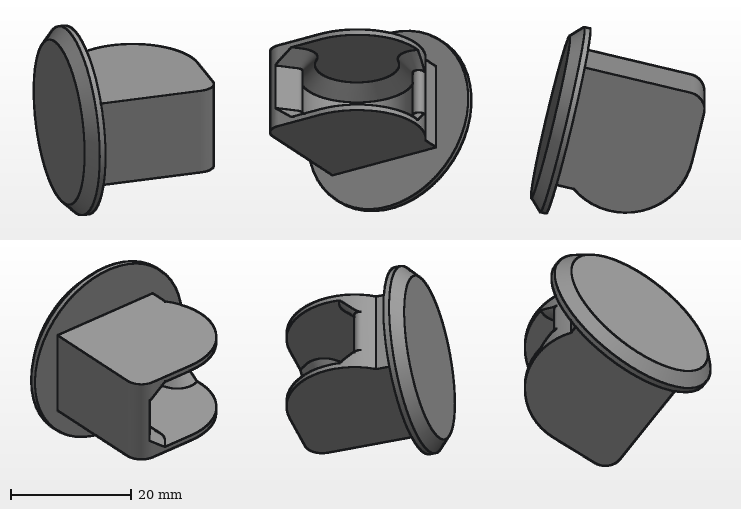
import cadquery as cq
import math

plate_radius = 15.88
plate_thickness = 3.02
plate_chamfer = 2.0

body_back = 24.35
body_height = 14.83
body_left = -9.52
body_right = 11.02
body_corner_radius = 3.02
bulge_radius = 11.37
bulge_center_x = -0.35
bulge_center_y = body_back - bulge_radius

bore_radius = 9.52
bore_center_y = 12.57
wall_tip_radius = 1.02
wall_tip_angle = 49.5
lip_tip_angle = 200.0
flange_thickness = 1.02
cavity_slope = 2.5
cavity_half_height = body_height / 2 - flange_thickness
straight_half_height = cavity_half_height - cavity_slope

clearance = 9.52
lip_run_out = 2.55


def move(point, distance, angle):
    """Return the point reached by going a distance at an angle in degrees."""
    turn = math.radians(angle)
    return (point[0] + distance * math.cos(turn), point[1] + distance * math.sin(turn))


def make_plate():
    plate = cq.Workplane("XZ").circle(plate_radius).extrude(-plate_thickness)
    return plate.faces("<Y").chamfer(plate_chamfer)


def make_body():
    bulge_center = (bulge_center_x, bulge_center_y)
    neck_drop = math.sqrt(bulge_radius**2 - (body_left - bulge_center_x) ** 2)
    corner_center = (body_right - body_corner_radius, body_back - body_corner_radius)
    return (
        cq.Workplane("XY")
        .workplane(offset=-body_height / 2)
        .moveTo(body_left, plate_thickness)
        .lineTo(body_left, bulge_center_y - neck_drop)
        .threePointArc(move(bulge_center, bulge_radius, 180), (bulge_center_x, body_back))
        .lineTo(corner_center[0], body_back)
        .threePointArc(
            move(corner_center, body_corner_radius, 45),
            (body_right, corner_center[1]),
        )
        .lineTo(body_right, plate_thickness)
        .close()
        .extrude(body_height)
    )


def lip_tip_radius():
    """Radius of the round that touches both the bore and the bulge at the lip angle."""
    offset_x = -bulge_center_x
    offset_y = bore_center_y - bulge_center_y
    turn = math.radians(lip_tip_angle)
    offset_along_lip = offset_x * math.cos(turn) + offset_y * math.sin(turn)
    gap_term = bulge_radius**2 - bore_radius**2 - offset_x**2 - offset_y**2
    gap_term -= 2 * bore_radius * offset_along_lip
    return gap_term / (2 * (bulge_radius + bore_radius + offset_along_lip))


def cavity_outline():
    """Bore that ends in a rounded tip at each side of its opening."""
    bore_center = (0, bore_center_y)

    wall_tip = move(bore_center, bore_radius + wall_tip_radius, wall_tip_angle)
    flat_start = move(wall_tip, wall_tip_radius, wall_tip_angle + 90)
    flat_end = move(flat_start, 2 * clearance, wall_tip_angle)

    lip_radius = lip_tip_radius()
    lip_tip = move(bore_center, bore_radius + lip_radius, lip_tip_angle)
    lip_normal = math.degrees(math.atan2(lip_tip[1] - bulge_center_y, lip_tip[0] - bulge_center_x))
    lip_end = move(lip_tip, lip_radius, lip_normal)
    run_out_end = move(lip_end, lip_run_out, lip_normal + 90)

    outer_left = -plate_radius - clearance
    return (
        cq.Workplane("XY")
        .workplane(offset=straight_half_height)
        .moveTo(*flat_end)
        .lineTo(*flat_start)
        .threePointArc(
            move(wall_tip, wall_tip_radius, wall_tip_angle + 135),
            move(bore_center, bore_radius, wall_tip_angle),
        )
        .threePointArc(
            move(bore_center, bore_radius, (wall_tip_angle + lip_tip_angle) / 2 + 180),
            move(bore_center, bore_radius, lip_tip_angle),
        )
        .threePointArc(move(lip_tip, lip_radius, 90), lip_end)
        .lineTo(*run_out_end)
        .lineTo(outer_left, run_out_end[1])
        .lineTo(outer_left, flat_end[1])
        .close()
    )


def make_cavity():
    middle = cavity_outline().extrude(-2 * straight_half_height)
    upper_slope = cavity_outline().extrude(cavity_slope, taper=45)
    lower_slope = upper_slope.mirror("XY")
    return middle.union(upper_slope).union(lower_slope)


result = make_plate().union(make_body().cut(make_cavity()))